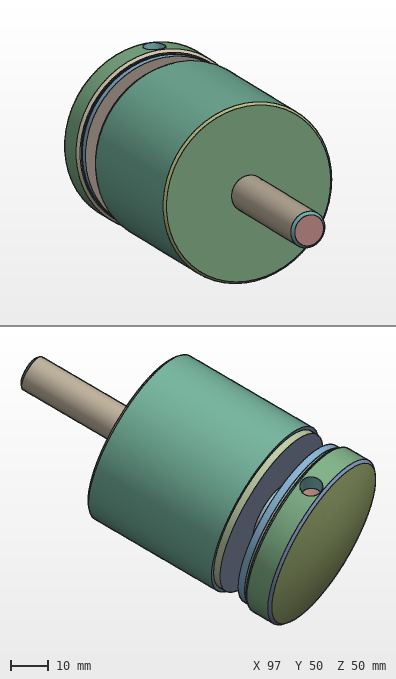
import cadquery as cq
import math


total_length = 97.0
dome_height = 2.8
cap_end = 11.7
gasket_thickness = 2.0
glass_gap = 5.8
front_gasket_end = cap_end + gasket_thickness
rear_gasket_start = front_gasket_end + glass_gap
housing_start = rear_gasket_start + gasket_thickness
housing_end = 61.7

outer_radius = 50.0 / 2
gasket_radius = 24.0
sleeve_radius = 8.5
stud_radius = 5.0

cap_front_chamfer = 0.8
cap_rear_chamfer = 0.8
cap_land_radius = 23.9
cap_shoulder = 11.1
key_hole_x = 6.8
key_hole_radius = 3.0
key_hole_depth = 5.8
drill_point_angle = 118.0

housing_chamfer = 0.7
stud_chamfer = 0.8


def cylinder(start, end, radius):
    """Solid cylinder on the X axis between two stations."""
    return cq.Workplane("YZ").workplane(offset=start).circle(radius).extrude(end - start)


def make_key_hole():
    """Radial blind hole from the top of the cap, ending in a drill point."""
    floor_z = outer_radius - key_hole_depth
    point_height = key_hole_radius / math.tan(math.radians(drill_point_angle / 2))
    return (
        cq.Workplane("XZ")
        .moveTo(0, outer_radius)
        .lineTo(key_hole_radius, outer_radius)
        .lineTo(key_hole_radius, floor_z)
        .lineTo(0, floor_z - point_height)
        .close()
        .revolve(360, (0, 0), (0, 1))
        .translate((key_hole_x, 0, 0))
    )


def make_cap():
    """Domed disc with chamfered rim, a reduced rear land and a key hole."""
    dome_rim_radius = outer_radius - cap_front_chamfer
    dome_radius = (dome_rim_radius**2 + dome_height**2) / (2 * dome_height)
    mid_radius = dome_rim_radius / 2
    mid_x = dome_radius - math.sqrt(dome_radius**2 - mid_radius**2)
    body = (
        cq.Workplane("XY")
        .moveTo(0, 0)
        .threePointArc((mid_x, mid_radius), (dome_height, dome_rim_radius))
        .lineTo(dome_height + cap_front_chamfer, outer_radius)
        .lineTo(cap_shoulder - cap_rear_chamfer, outer_radius)
        .lineTo(cap_shoulder, outer_radius - cap_rear_chamfer)
        .lineTo(cap_shoulder, cap_land_radius)
        .lineTo(cap_end, cap_land_radius)
        .lineTo(cap_end, 0)
        .close()
        .revolve(360, (0, 0), (1, 0))
    )
    return body.cut(make_key_hole())


def make_gasket(start):
    """Flat ring that fits around the sleeve."""
    end = start + gasket_thickness
    return cylinder(start, end, gasket_radius).cut(cylinder(start, end, sleeve_radius))


def make_sleeve():
    """Spacer through both gaskets, from the cap to the housing."""
    return cylinder(cap_end, housing_start, sleeve_radius)


def make_housing():
    """Plain cylinder, chamfered on its far rim."""
    return cylinder(housing_start, housing_end, outer_radius).faces(">X").edges().chamfer(housing_chamfer)


def make_stud():
    """Mounting stud on the far face of the housing, chamfered at its tip."""
    return cylinder(housing_end, total_length, stud_radius).faces(">X").edges().chamfer(stud_chamfer)


cap = make_cap()
gaskets = [make_gasket(start).val() for start in (cap_end, rear_gasket_start)]
sleeve = make_sleeve()
housing = make_housing()
stud = make_stud()

result = cq.Compound.makeCompound([cap.val(), *gaskets, sleeve.val(), housing.val(), stud.val()])